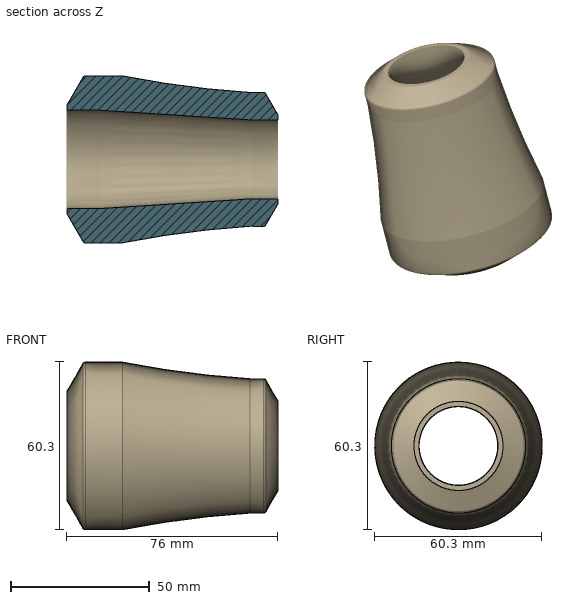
import cadquery as cq
import math

length = 76.0
large_diameter = 60.3
small_diameter = 48.3

large_face_diameter = 39.2
small_face_diameter = 32.1
bevel_angle = math.radians(30)
bevel_edge_radius = 1.0
edge_search_margin = 0.1

taper_start = 20.0
taper_end = 66.0
taper_sag = 0.75

bore_mouth_chamfer = 0.3
large_bore_diameter = 35.3
small_bore_diameter = 28.3
bore_cone_start = 11.6
bore_cone_end = taper_end


def bevel_depth(band_diameter, face_diameter):
    """Axial length of an end bevel."""
    return (band_diameter - face_diameter) / 2 * math.tan(bevel_angle)


def make_body():
    """Revolve the outer outline and round the outer edges of the bevels."""
    large_radius = large_diameter / 2
    small_radius = small_diameter / 2
    large_shoulder = bevel_depth(large_diameter, large_face_diameter)
    small_shoulder = length - bevel_depth(small_diameter, small_face_diameter)
    flank_middle = (
        (taper_start + taper_end) / 2,
        (large_radius + small_radius) / 2 - taper_sag,
    )
    body = (
        cq.Workplane("XY")
        .moveTo(0, 0)
        .lineTo(0, large_face_diameter / 2)
        .lineTo(large_shoulder, large_radius)
        .lineTo(taper_start, large_radius)
        .threePointArc(flank_middle, (taper_end, small_radius))
        .lineTo(small_shoulder, small_radius)
        .lineTo(length, small_face_diameter / 2)
        .lineTo(length, 0)
        .close()
        .revolve(360, (0, 0, 0), (1, 0, 0))
    )
    for shoulder in (large_shoulder, small_shoulder):
        shoulder_edges = cq.selectors.BoxSelector(
            (shoulder - edge_search_margin, -large_radius, -large_radius),
            (shoulder + edge_search_margin, large_radius, large_radius),
        )
        body = body.edges(shoulder_edges).fillet(bevel_edge_radius)
    return body


def make_bore():
    """Revolve the chamfered, stepped through bore."""
    return (
        cq.Workplane("XY")
        .moveTo(0, 0)
        .lineTo(0, large_bore_diameter / 2 + bore_mouth_chamfer)
        .lineTo(bore_mouth_chamfer, large_bore_diameter / 2)
        .lineTo(bore_cone_start, large_bore_diameter / 2)
        .lineTo(bore_cone_end, small_bore_diameter / 2)
        .lineTo(length, small_bore_diameter / 2)
        .lineTo(length, 0)
        .close()
        .revolve(360, (0, 0, 0), (1, 0, 0))
    )


result = make_body().cut(make_bore())